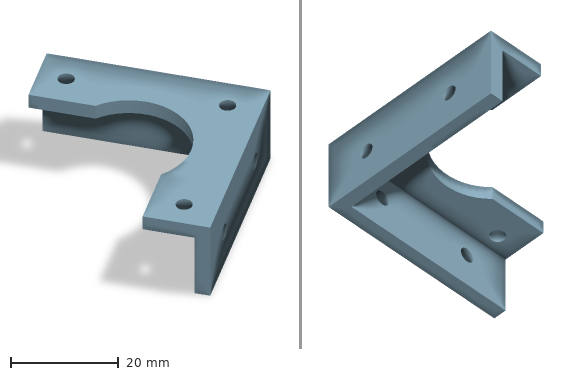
import cadquery as cq

side = 43.0
height = 16.0
thickness = 3.0
arm_width = 13.0

opening_diameter = 24.0
opening_y_shift = 0.15
screw_diameter = 3.2
screw_spacing = 31.0

wall_hole_spacing = 22.0
wall_hole_start = 11.0
wall_hole_height = 7.5

opening_x = side / 2
opening_y = side / 2 + opening_y_shift
wall_inner_face = side - thickness
arm_inner_edge = side - arm_width


def box(x_min, y_min, z_min):
    """Box from the given low corner up to the part's high corner."""
    size = (side - x_min, side - y_min, height - z_min)
    return cq.Workplane("XY").box(*size, centered=False).translate((x_min, y_min, z_min))


def make_top_plate():
    """L-shaped plate with a round opening and three screw holes."""
    plate_bottom = height - thickness
    plate = box(arm_inner_edge, 0, plate_bottom).union(box(0, arm_inner_edge, plate_bottom))
    high = side - arm_width / 2
    low = high - screw_spacing
    screws = (
        cq.Workplane("XY")
        .pushPoints([(low, high), (high, high), (high, low)])
        .circle(screw_diameter / 2)
        .extrude(height)
    )
    opening = (
        cq.Workplane("XY")
        .center(opening_x, opening_y)
        .circle(opening_diameter / 2)
        .extrude(height)
    )
    return plate.cut(screws).cut(opening)


def make_walls():
    """Two full-height walls meeting at the outer corner, each with two holes."""
    walls = box(wall_inner_face, 0, 0).union(box(0, wall_inner_face, 0))
    for step in range(2):
        offset = wall_hole_start + step * wall_hole_spacing
        back_hole = (
            cq.Workplane("XZ", origin=(offset, side, wall_hole_height))
            .circle(screw_diameter / 2)
            .extrude(thickness)
        )
        side_hole = (
            cq.Workplane("YZ", origin=(wall_inner_face, side - offset, wall_hole_height))
            .circle(screw_diameter / 2)
            .extrude(thickness)
        )
        walls = walls.cut(back_hole).cut(side_hole)
    return walls


result = make_top_plate().union(make_walls())